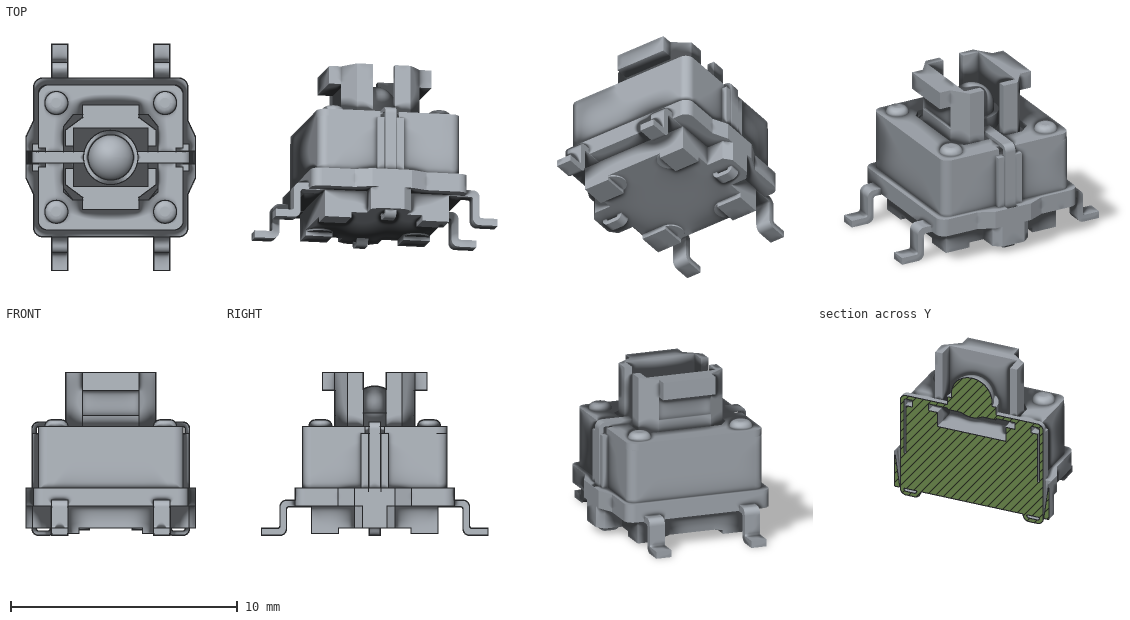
import cadquery as cq

foot_z = 0.08
boss_z = 0.25
base_z = 0.32
flange_z = 1.29
flange_top = 2.1
pocket_floor_z = 3.8
cover_z = 4.5
opening_ledge_z = 4.6
collar_z = 4.74
cover_top = 4.82
collar_top = 5.4
dome_centre_z = 5.6
overhang_z = 6.4
part_top = 7.2

housing_side = 6.4
housing_radius = 0.4
cover_rear_radius = 0.46
flange_x = 6.82
flange_y = 7.02
flange_radius = 0.42
ear_reach = 3.75
ear_half_width = 0.9
ear_root_half_width = 1.62
base_half_x = 2.64
base_half_y = 2.8
foot_inner_x = 1.4
foot_inner_y = 1.6
boss_x = 1.54
boss_y = 2.2
boss_radius = 0.6
column_shoulder_x = 3.45
column_face_half_width = 0.55

rivet_pitch = 4.8
rivet_radius = 0.51
rivet_height = 0.29

clip_width = 0.5
clip_thickness = 0.2
clip_outer_x = 3.48
clip_top = 5.01
clip_hook_x = 2.48
clip_bend = 0.3
clip_inner_bend = clip_bend - clip_thickness
guide_slot_width = 0.56
rail_outer_x = 3.45
rail_pair_width = 1.2
notch_depth = 0.31
notch_width = 0.85
funnel_outer_x = 3.73

opening_half_x = 2.08
opening_half_y = 1.89
opening_chamfer_x = 0.42
opening_chamfer_y = 0.52
front_chamfer_y = 0.36
jaw_half_x = 1.99
jaw_half_y = 1.77
jaw_face_half_x = 1.24
jaw_corner_y = 1.21
jaw_gap = 1.0
pocket_x = 3.28
pocket_y = 2.58
overhang_half_y = 2.31
recess_z = 5.3
recess_depth = 0.15
collar_radius = 1.2
dome_radius = 1.0

lead_pitch = 4.5
lead_width = 0.72
lead_tip_y = 5.0
lead_outer_y = 4.19
lead_thickness = 0.3
lead_foot_thickness = 0.32
lead_top = 1.56
lead_outer_bend = 0.3
lead_inner_bend = 0.1


def box(x0, x1, y0, y1, z0, z1):
    """Axis-aligned block between two opposite corners."""
    return cq.Workplane("XY").box(x1 - x0, y1 - y0, z1 - z0, centered=False).translate((x0, y0, z0))


def centred_box(size_x, size_y, z0, z1):
    """Block centred on the vertical axis of the part."""
    return box(-size_x / 2, size_x / 2, -size_y / 2, size_y / 2, z0, z1)


def prism(points, z0, z1):
    """Vertical prism over a closed polygon."""
    return cq.Workplane("XY").workplane(offset=z0).polyline(points).close().extrude(z1 - z0)


def both_x(body):
    """The body together with its mirror image on the other X side."""
    return body.union(body.mirror("YZ"))


def both_y(body):
    """The body together with its mirror image on the other Y side."""
    return body.union(body.mirror("XZ"))


def make_housing():
    lower = centred_box(housing_side, housing_side, flange_top, cover_z).edges("|Z").fillet(housing_radius)
    cover = centred_box(housing_side, housing_side, cover_z, cover_top)
    cover = cover.edges("|Z and <Y").fillet(housing_radius)
    cover = cover.edges("|Z and >Y").fillet(cover_rear_radius)
    return lower.union(cover)


def make_flange():
    plate = centred_box(flange_x, flange_y, flange_z, flange_top).edges("|Z").fillet(flange_radius)
    ear = prism(
        [
            (0, -ear_root_half_width),
            (flange_x / 2, -ear_root_half_width),
            (ear_reach, -ear_half_width),
            (ear_reach, ear_half_width),
            (flange_x / 2, ear_root_half_width),
            (0, ear_root_half_width),
        ],
        flange_z,
        flange_top,
    )
    return plate.union(both_x(ear))


def make_base():
    body = centred_box(2 * base_half_x, 2 * base_half_y, base_z, flange_z)
    column = prism(
        [
            (0, -ear_half_width),
            (column_shoulder_x, -ear_half_width),
            (ear_reach, -column_face_half_width),
            (ear_reach, column_face_half_width),
            (column_shoulder_x, ear_half_width),
            (0, ear_half_width),
        ],
        base_z,
        flange_z,
    )
    foot = box(foot_inner_x, base_half_x, foot_inner_y, base_half_y, foot_z, base_z)
    boss_plane = cq.Workplane("XY").workplane(offset=boss_z).center(boss_x, boss_y)
    boss = boss_plane.circle(boss_radius).extrude(base_z - boss_z)
    return body.union(both_x(column)).union(both_x(both_y(foot.union(boss))))


def make_rivets():
    flat_radius = rivet_radius - rivet_height
    head = (
        cq.Workplane("XZ")
        .moveTo(0, 0)
        .lineTo(rivet_radius, 0)
        .radiusArc((flat_radius, rivet_height), -rivet_height)
        .lineTo(0, rivet_height)
        .close()
        .revolve(360, (0, 0, 0), (0, 1, 0))
        .translate((rivet_pitch / 2, rivet_pitch / 2, cover_top))
    )
    return both_x(both_y(head))


def make_rails():
    rails = box(0, rail_outer_x, -rail_pair_width / 2, rail_pair_width / 2, flange_top, cover_z)
    slot = box(
        housing_side / 2, rail_outer_x, -guide_slot_width / 2, guide_slot_width / 2, flange_top, cover_z
    )
    return both_x(rails.cut(slot))


def make_cover_notches():
    inner_x = housing_side / 2 - notch_depth
    return both_x(box(inner_x, housing_side / 2, -notch_width / 2, notch_width / 2, cover_z, cover_top))


def make_funnels():
    """Tapered pockets in the ears, open at the top, outside the clip."""
    wedge = (
        cq.Workplane("XZ")
        .polyline([(clip_outer_x, base_z), (funnel_outer_x, flange_top), (clip_outer_x, flange_top)])
        .close()
        .extrude(guide_slot_width / 2, both=True)
    )
    return both_x(wedge)


def clip_block(x0, x1, z0, z1):
    return box(x0, x1, -clip_width / 2, clip_width / 2, z0, z1)


def make_clip():
    """Strap lying on the cover, running down each side and hooking up into the base.

    Its inner upright is buried in the housing and base.
    """
    outside = clip_block(clip_hook_x, clip_outer_x, 0, clip_top)
    outside = outside.edges("|Y and >X").fillet(clip_bend)
    outside = outside.edges("|Y and <X and <Z").fillet(clip_bend)
    inside = clip_block(
        clip_hook_x + clip_thickness, clip_outer_x - clip_thickness, clip_thickness, clip_top - clip_thickness
    )
    inside = inside.edges("|Y").fillet(clip_inner_bend)
    top_run = clip_block(0, clip_hook_x, clip_top - clip_thickness, clip_top)
    return both_x(outside.cut(inside).union(top_run))


def opening_quarter(chamfer_y, z0, z1):
    """Quarter of the opening in +X +Y, with its corner cut back by chamfer_y."""
    return prism(
        [
            (0, opening_half_y),
            (opening_half_x - opening_chamfer_x, opening_half_y),
            (opening_half_x, opening_half_y - chamfer_y),
            (opening_half_x, 0),
            (0, 0),
        ],
        z0,
        z1,
    )


def make_opening():
    """Eight-sided opening in the cover; small ledges sit in its two front corners."""
    opening = both_x(both_y(opening_quarter(opening_chamfer_y, cover_z, cover_top)))
    front = opening_quarter(front_chamfer_y, opening_ledge_z, cover_top).mirror("XZ")
    return opening.union(both_x(front))


def make_pocket(z1):
    """Rectangular well around the stem, from its floor up to z1."""
    return centred_box(pocket_x, pocket_y, pocket_floor_z, z1)


def make_jaw():
    """Jaw on the +Y side: wall with two wings, an outer recess and a top overhang."""
    outline = [
        (-jaw_half_x, jaw_gap / 2),
        (-jaw_half_x, jaw_corner_y),
        (-jaw_face_half_x, jaw_half_y),
        (jaw_face_half_x, jaw_half_y),
        (jaw_half_x, jaw_corner_y),
        (jaw_half_x, jaw_gap / 2),
    ]
    jaw = prism(outline, cover_z, part_top)
    recess = box(
        -jaw_face_half_x, jaw_face_half_x, jaw_half_y - recess_depth, jaw_half_y, recess_z, overhang_z
    )
    overhang = box(-jaw_face_half_x, jaw_face_half_x, jaw_half_y, overhang_half_y, overhang_z, part_top)
    return jaw.cut(make_pocket(part_top)).cut(recess).union(overhang)


def make_stem():
    bottom = cq.Workplane("XY").workplane(offset=collar_z)
    collar = bottom.circle(collar_radius).extrude(collar_top - collar_z)
    neck = bottom.circle(dome_radius).extrude(dome_centre_z - collar_z)
    dome = cq.Workplane("XY").sphere(dome_radius).translate((0, 0, dome_centre_z))
    return collar.union(neck).union(dome)


def make_leads():
    profile = (
        cq.Workplane("YZ")
        .moveTo(base_half_y, lead_top - lead_thickness)
        .lineTo(lead_outer_y - lead_thickness - lead_inner_bend, lead_top - lead_thickness)
        .radiusArc(
            (lead_outer_y - lead_thickness, lead_top - lead_thickness - lead_inner_bend), lead_inner_bend
        )
        .lineTo(lead_outer_y - lead_thickness, lead_outer_bend)
        .radiusArc((lead_outer_y - lead_thickness + lead_outer_bend, 0), -lead_outer_bend)
        .lineTo(lead_tip_y, 0)
        .lineTo(lead_tip_y, lead_foot_thickness)
        .lineTo(lead_outer_y + lead_inner_bend, lead_foot_thickness)
        .radiusArc((lead_outer_y, lead_foot_thickness + lead_inner_bend), lead_inner_bend)
        .lineTo(lead_outer_y, lead_top - lead_outer_bend)
        .radiusArc((lead_outer_y - lead_outer_bend, lead_top), -lead_outer_bend)
        .lineTo(base_half_y, lead_top)
        .close()
    )
    lead = profile.extrude(lead_width / 2, both=True).translate((lead_pitch / 2, 0, 0))
    return both_x(both_y(lead))


body = make_housing().union(make_flange()).union(make_base()).union(make_rails())
body = body.cut(make_cover_notches()).cut(make_opening()).cut(make_pocket(cover_top)).cut(make_funnels())
body = body.union(make_rivets()).union(make_stem()).union(both_y(make_jaw()))
result = body.union(make_clip()).union(make_leads())